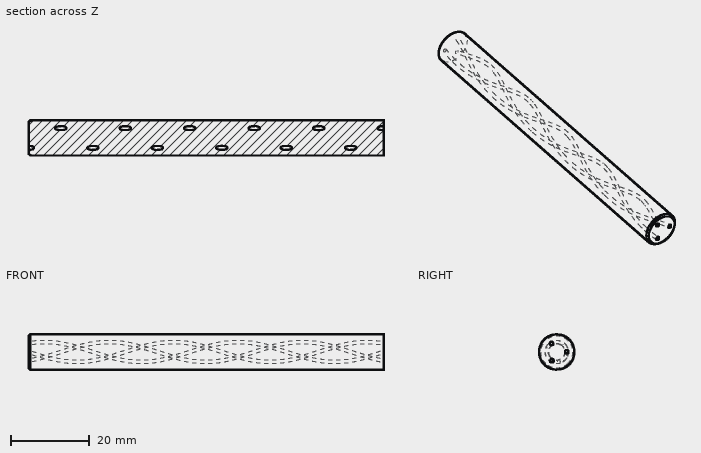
import cadquery as cq
import math

length = 90.0
diameter = 9.0
chamfer = 0.45

channel_diameter = 0.9
channel_circle_radius = 2.5
channel_count = 3
helix_angle = 30.0
helix_lead = math.pi * diameter / math.tan(math.radians(helix_angle))
twist = 360 * length / helix_lead


def rod():
    """Cylinder from x = 0 to x = length, chamfered at the x = 0 end."""
    bar = cq.Workplane("YZ").circle(diameter / 2).extrude(length)
    return bar.faces("<X").chamfer(chamfer)


def coolant_channel(index):
    """Channel twisting around the rod axis; channel 0 starts on the -Y side."""
    angle = math.pi + index * 2 * math.pi / channel_count
    y = channel_circle_radius * math.cos(angle)
    z = channel_circle_radius * math.sin(angle)
    profile = cq.Workplane("YZ").moveTo(y, z).circle(channel_diameter / 2)
    return profile.twistExtrude(length, twist)


result = rod()
for channel_index in range(channel_count):
    result = result.cut(coolant_channel(channel_index))